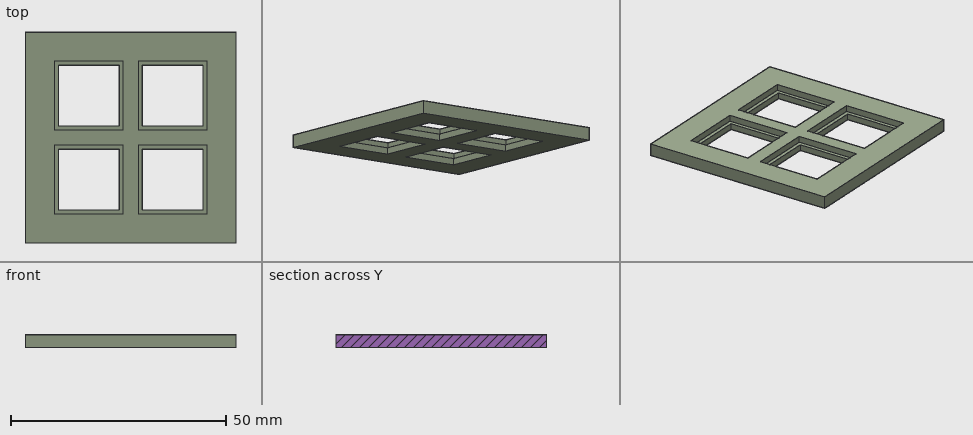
import cadquery as cq

columns = 2
rows = 2
pitch = 19.5
border = 5.0
thickness = 3.0

recess_side = 16.0
hole_side = 14.05
recess_depth = 1.5

plate_length = columns * pitch + 2 * border
plate_width = rows * pitch + 2 * border


def square_cuts(body, side, depth):
    """Cut a centred grid of squares into the top face, down to the given depth."""
    return (
        body.faces(">Z")
        .workplane(origin=(0, 0, thickness))
        .rarray(pitch, pitch, columns, rows)
        .rect(side, side)
        .cutBlind(-depth)
    )


plate = cq.Workplane("XY").box(plate_length, plate_width, thickness, centered=(True, True, False))
recessed_plate = square_cuts(plate, recess_side, recess_depth)
result = square_cuts(recessed_plate, hole_side, thickness)